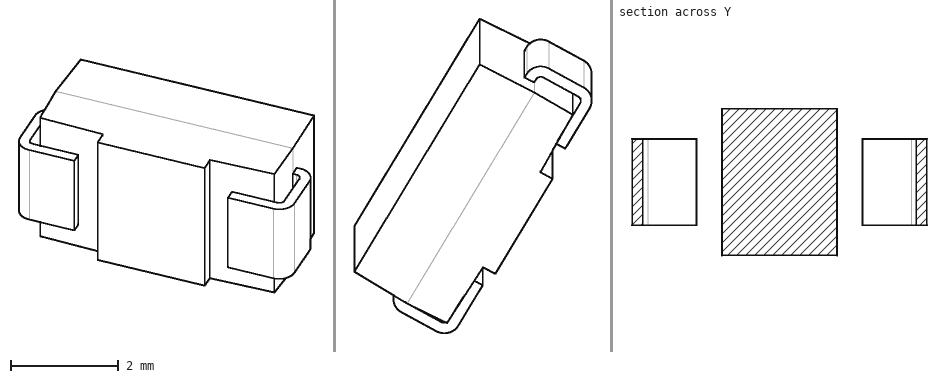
import cadquery as cq
import math


body_length = 4.75
body_width = 2.79
body_height = 2.29
parting_height = body_height / 2
draft_angle = 2.0

pad_length = 2.14
relief_at_pad = 0.265
relief_at_end = 0.3

overall_length = 5.49
lead_thickness = 0.205
lead_width = 1.605
lead_outer_radius = 0.3
lead_inner_radius = lead_outer_radius - lead_thickness
foot_length = 1.21
lead_embed = 0.22

half_body = body_length / 2
half_pad = pad_length / 2
half_overall = overall_length / 2


def drafted_half(height):
    """Half of the body, tapering from the parting plane over a signed height along Y."""
    section = cq.Workplane("XZ", origin=(0, parting_height, 0)).rect(body_length, body_width)
    return section.extrude(-height, taper=draft_angle)


def end_relief():
    """Clearance under the +X end of the body, with a gently sloping roof."""
    roof_slope = (relief_at_end - relief_at_pad) / (half_body - half_pad)
    roof_at_overall = relief_at_pad + roof_slope * (half_overall - half_pad)
    return (
        cq.Workplane("XY")
        .moveTo(half_pad, 0)
        .lineTo(half_overall, 0)
        .lineTo(half_overall, roof_at_overall)
        .lineTo(half_pad, relief_at_pad)
        .close()
        .extrude(body_width / 2, both=True)
    )


def lead():
    """C-shaped +X lead: out of the body at the parting plane, down, and back under it."""
    top = parting_height + lead_thickness
    buried_end = half_body - lead_embed
    foot_tip = half_overall - foot_length
    inner_side = half_overall - lead_thickness
    outer_bend = half_overall - lead_outer_radius
    upper_bend = top - lead_outer_radius
    lower_bend = lead_outer_radius
    diagonal = math.sqrt(0.5)
    outer_mid = outer_bend + lead_outer_radius * diagonal
    inner_mid = outer_bend + lead_inner_radius * diagonal
    return (
        cq.Workplane("XY")
        .moveTo(buried_end, top)
        .lineTo(outer_bend, top)
        .threePointArc((outer_mid, upper_bend + lead_outer_radius * diagonal), (half_overall, upper_bend))
        .lineTo(half_overall, lower_bend)
        .threePointArc((outer_mid, lower_bend - lead_outer_radius * diagonal), (outer_bend, 0))
        .lineTo(foot_tip, 0)
        .lineTo(foot_tip, lead_thickness)
        .lineTo(outer_bend, lead_thickness)
        .threePointArc((inner_mid, lower_bend - lead_inner_radius * diagonal), (inner_side, lower_bend))
        .lineTo(inner_side, upper_bend)
        .threePointArc((inner_mid, upper_bend + lead_inner_radius * diagonal), (outer_bend, parting_height))
        .lineTo(buried_end, parting_height)
        .close()
        .extrude(lead_width / 2, both=True)
    )


def both_ends(feature):
    """A +X end feature together with its mirror image at the -X end."""
    return [feature, feature.mirror("YZ")]


result = drafted_half(body_height - parting_height).union(drafted_half(-parting_height))

for relief in both_ends(end_relief()):
    result = result.cut(relief)

for terminal in both_ends(lead()):
    result = result.union(terminal)